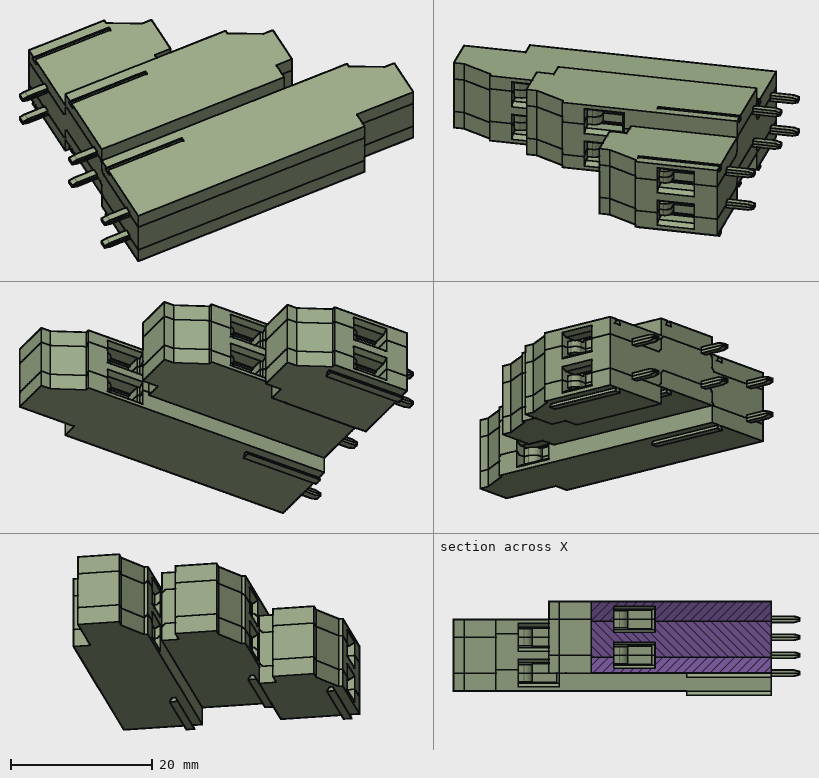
import cadquery as cq


column_width = 11.35
column_height = 10.16
column_depths = [18.0, 31.5, 45.0]
shelf_depths = [15.5, 29.0, 36.0]
column_lift = column_height / 4
column_lifts = [0.0, column_lift, 0.0]
window_starts = [3.4, 3.0, 3.0]
pin_offsets = [5.45, 9.45, 8.2]
column_step = column_depths[1] - column_depths[0]
block_width = column_width * len(column_depths)

ledge_width = 0.55
head_left = 2.95
head_right = 8.9
head_side = 1.5
shoulder_setback = 6.0

level_pitch = column_height / 2
level_heights = [level_pitch / 2, level_pitch / 2 + level_pitch]

window_end = 8.8
window_height = 3.9
funnel_depth = 0.85
cavity_start = 3.4
cavity_height = 2.9
cavity_back = 2.85
recess_height = 2.6
recess_back = 3.3

clamp_fronts = [1.2, 1.6, 1.6]
clamp_heights = [1.8, 2.4, 2.4]
clamp_flats = [0.6, 0.75, 0.75]
clamp_radii = [1.0, 1.2, 1.2]

pin_width = 1.0
pin_height = 0.9
pin_length = 4.0
tip_length = 0.8
tip_height = 0.45

dovetail_offset = 1.7
dovetail_length = column_depths[0] - shoulder_setback
dovetail_neck = 0.5
dovetail_base = 1.2
rib_height = 0.6
groove_depth = 0.7

joint_chamfer = 0.5
layer_margin = 5.0


def column_body(index):
    """Column with a sloped shoulder on its left and a shelf on its right."""
    depth = column_depths[index]
    outline = [
        (0, 0),
        (column_width, 0),
        (column_width, shelf_depths[index]),
        (head_right, shelf_depths[index]),
        (head_right, depth),
        (head_left, depth),
        (head_left, depth - head_side),
        (ledge_width, depth - shoulder_setback),
        (0, depth - shoulder_setback),
    ]
    column = cq.Workplane("XY").polyline(outline).close().extrude(column_height)
    return column.translate((index * column_width, 0, column_lifts[index]))


def window_cut(index):
    """Void of one wire window about Z = 0, with its clamp left standing."""
    funnel_outline = [
        (0, -window_height / 2),
        (funnel_depth, -cavity_height / 2),
        (funnel_depth, cavity_height / 2),
        (0, window_height / 2),
    ]
    funnel = (
        cq.Workplane("XZ", origin=(0, window_end, 0))
        .polyline(funnel_outline)
        .close()
        .extrude(window_end - window_starts[index])
    )
    cavity = cq.Workplane("XY").box(
        cavity_back, window_end - cavity_start, cavity_height, centered=(False, False, True)
    ).translate((0, cavity_start, 0))
    clamp_side = window_end - clamp_flats[index] - clamp_radii[index]
    recess = cq.Workplane("XY").box(
        recess_back, clamp_side - cavity_start, recess_height, centered=(False, False, True)
    ).translate((0, cavity_start, 0))
    clamp_depth = cavity_back - clamp_fronts[index]
    clamp_width = window_end - clamp_side
    clamp = cq.Workplane("XY").box(
        clamp_depth, clamp_width, clamp_heights[index], centered=(False, False, True)
    ).translate((clamp_fronts[index], clamp_side, 0))
    clamp = clamp.edges("|Z and <X and <Y").fillet(clamp_radii[index])
    return cavity.cut(clamp).union(funnel).union(recess)


def pin():
    """Rectangular pin that starts at the pin face and thins towards its tip."""
    outline = [
        (0, -pin_height / 2),
        (0, pin_height / 2),
        (tip_length - pin_length, pin_height / 2),
        (-pin_length, tip_height / 2),
        (-pin_length, -tip_height / 2),
        (tip_length - pin_length, -pin_height / 2),
    ]
    return cq.Workplane("YZ").polyline(outline).close().extrude(pin_width / 2, both=True)


def dovetail(height):
    """Bar that widens downwards from its neck at Z = 0."""
    outline = [
        (-dovetail_neck / 2, 0),
        (dovetail_neck / 2, 0),
        (dovetail_base / 2, -height),
        (-dovetail_base / 2, -height),
    ]
    return cq.Workplane("XZ").polyline(outline).close().extrude(-dovetail_length)


def joint_line(level_height):
    """Points of a joint, left to right: it climbs over the middle column with chamfered corners."""
    low = level_height
    high = level_height + column_lift
    left = column_width
    right = 2 * column_width
    return [
        (-layer_margin, low),
        (left - joint_chamfer, low),
        (left, low + joint_chamfer),
        (left, high - joint_chamfer),
        (left + joint_chamfer, high),
        (right - joint_chamfer, high),
        (right, high - joint_chamfer),
        (right, low + joint_chamfer),
        (right + joint_chamfer, low),
        (block_width + layer_margin, low),
    ]


def layer(lower_line, upper_line):
    """Part of the whole block that lies between two joint lines."""
    span_start = -pin_length - layer_margin
    span_end = column_depths[-1] + layer_margin
    zone = (
        cq.Workplane("XZ", origin=(0, span_start, 0))
        .polyline(lower_line + upper_line[::-1])
        .close()
        .extrude(span_start - span_end)
    )
    return block.intersect(zone)


block = column_body(0)
for index in range(1, len(column_depths)):
    block = block.union(column_body(index))

for index, lift in enumerate(column_lifts):
    left = index * column_width
    for level_height in level_heights:
        height = lift + level_height
        block = block.cut(window_cut(index).translate((left, index * column_step, height)))
        block = block.union(pin().translate((left + pin_offsets[index], 0, height)))
    dovetail_x = left + dovetail_offset
    block = block.union(dovetail(rib_height).translate((dovetail_x, 0, lift)))
    block = block.cut(dovetail(groove_depth).translate((dovetail_x, 0, lift + column_height)))

lower_joint = joint_line(level_heights[0])
upper_joint = joint_line(level_heights[1])
below_block = [(-layer_margin, -layer_margin), (block_width + layer_margin, -layer_margin)]
above_height = column_height + column_lift + layer_margin
above_block = [(-layer_margin, above_height), (block_width + layer_margin, above_height)]

bottom_layer = layer(below_block, lower_joint)
middle_layer = layer(lower_joint, upper_joint)
top_layer = layer(upper_joint, above_block)

result = cq.Compound.makeCompound(
    [*bottom_layer.solids().vals(), *middle_layer.solids().vals(), *top_layer.solids().vals()]
)